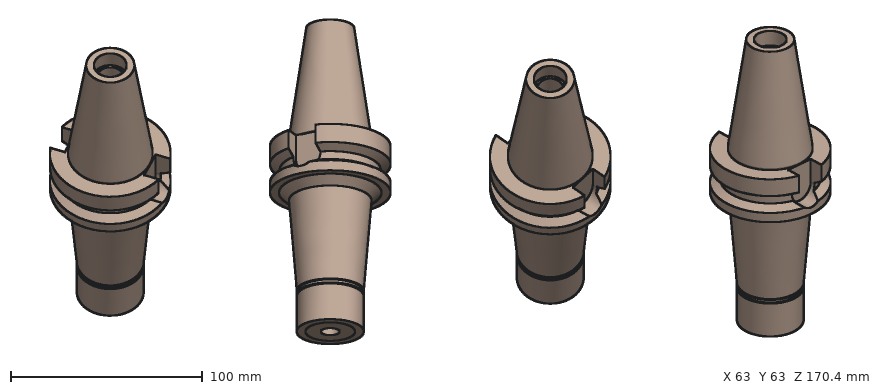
import cadquery as cq
import math

TOTAL_LENGTH = 170.4
GAUGE_Z = 105.0
FLANGE_TOP_Z = 104.1
V_GROOVE_TOP_Z = 93.9
V_GROOVE_FLOOR_TOP_Z = 90.8
V_GROOVE_FLOOR_BOTTOM_Z = 86.4
V_GROOVE_BOTTOM_Z = 83.7
FLANGE_BOTTOM_Z = 78.0
SHANK_TOP_Z = 73.5
SHANK_BOTTOM_Z = 22.8
SPIGOT_BOTTOM_Z = 6.8
COLLET_TOP_Z = 34.0

TAPER_RATIO = 7 / 24
GAUGE_RADIUS = 22.2
TAPER_TIP_RADIUS = GAUGE_RADIUS - (TOTAL_LENGTH - GAUGE_Z) * TAPER_RATIO / 2
FLANGE_RADIUS = 31.5
V_GROOVE_RADIUS = 26.4
FLANGE_CONE_RADIUS = 26.8
SHANK_TOP_RADIUS = 21.6
SHANK_BOTTOM_RADIUS = 17.5
SPIGOT_RADIUS = 14.0

COUNTERBORE_RADIUS = 8.5
COUNTERBORE_DEPTH = 8.9
DRILL_RADIUS = 7.0

SLOT_WIDTH = 16.0
SLOT_FLOOR_OFFSET = 22.3
SLOT_BOTTOM_Z = 82.1

NUT_RADIUS = 17.5
NUT_TOP_Z = 22.3
NUT_GROOVE_TOP_Z = 20.6
NUT_GROOVE_WIDTH = 0.5
NUT_GROOVE_DEPTH = 0.2

COLLET_MAX_RADIUS = 13.0
COLLET_ANGLE = 8.0
COLLET_BORE_RADIUS = 5.0
COLLET_CONE_LENGTH = COLLET_TOP_Z - SPIGOT_BOTTOM_Z
COLLET_TIP_RADIUS = COLLET_MAX_RADIUS - COLLET_CONE_LENGTH * math.tan(math.radians(COLLET_ANGLE))


def revolve_profile(points):
    """Turn a closed (radius, height) outline about the Z axis."""
    return cq.Workplane("XZ").polyline(points).close().revolve(360, (0, 0), (0, 1))


def cylinder(radius, bottom_z, top_z):
    return cq.Workplane("XY").workplane(offset=bottom_z).circle(radius).extrude(top_z - bottom_z)


def make_collet_blank():
    """Collet without its bore: a straight nose below the clamping cone, which narrows upward."""
    return revolve_profile([
        (0, 0),
        (COLLET_MAX_RADIUS, 0),
        (COLLET_MAX_RADIUS, SPIGOT_BOTTOM_Z),
        (COLLET_TIP_RADIUS, COLLET_TOP_Z),
        (0, COLLET_TOP_Z),
    ])


def make_drive_slot(side):
    """Cutter for one round-ended drive slot; side is +1 for +X and -1 for -X."""
    slot_radius = SLOT_WIDTH / 2
    arc_center_z = SLOT_BOTTOM_Z + slot_radius
    return (
        cq.Workplane("YZ")
        .workplane(offset=side * SLOT_FLOOR_OFFSET)
        .moveTo(-slot_radius, FLANGE_TOP_Z)
        .lineTo(-slot_radius, arc_center_z)
        .threePointArc((0, SLOT_BOTTOM_Z), (slot_radius, arc_center_z))
        .lineTo(slot_radius, FLANGE_TOP_Z)
        .close()
        .extrude(side * FLANGE_RADIUS)
    )


def make_holder():
    """Taper shank, grooved flange and chuck nose with a through bore and a collet seat."""
    body = revolve_profile([
        (0, SPIGOT_BOTTOM_Z),
        (SPIGOT_RADIUS, SPIGOT_BOTTOM_Z),
        (SPIGOT_RADIUS, SHANK_BOTTOM_Z),
        (SHANK_BOTTOM_RADIUS, SHANK_BOTTOM_Z),
        (SHANK_TOP_RADIUS, SHANK_TOP_Z),
        (FLANGE_CONE_RADIUS, FLANGE_BOTTOM_Z),
        (FLANGE_RADIUS, FLANGE_BOTTOM_Z),
        (FLANGE_RADIUS, V_GROOVE_BOTTOM_Z),
        (V_GROOVE_RADIUS, V_GROOVE_FLOOR_BOTTOM_Z),
        (V_GROOVE_RADIUS, V_GROOVE_FLOOR_TOP_Z),
        (FLANGE_RADIUS, V_GROOVE_TOP_Z),
        (FLANGE_RADIUS, FLANGE_TOP_Z),
        (GAUGE_RADIUS, FLANGE_TOP_Z),
        (GAUGE_RADIUS, GAUGE_Z),
        (TAPER_TIP_RADIUS, TOTAL_LENGTH),
        (0, TOTAL_LENGTH),
    ])
    for side in (-1, 1):
        body = body.cut(make_drive_slot(side))
    body = body.cut(cylinder(COUNTERBORE_RADIUS, TOTAL_LENGTH - COUNTERBORE_DEPTH, TOTAL_LENGTH))
    body = body.cut(cylinder(DRILL_RADIUS, COLLET_TOP_Z, TOTAL_LENGTH))
    return body.cut(make_collet_blank())


def make_nut():
    """Clamping nut around the spigot, with a fine groove near its upper edge."""
    groove_floor_radius = NUT_RADIUS - NUT_GROOVE_DEPTH
    groove_bottom_z = NUT_GROOVE_TOP_Z - NUT_GROOVE_WIDTH
    return revolve_profile([
        (COLLET_MAX_RADIUS, 0),
        (NUT_RADIUS, 0),
        (NUT_RADIUS, groove_bottom_z),
        (groove_floor_radius, groove_bottom_z),
        (groove_floor_radius, NUT_GROOVE_TOP_Z),
        (NUT_RADIUS, NUT_GROOVE_TOP_Z),
        (NUT_RADIUS, NUT_TOP_Z),
        (SPIGOT_RADIUS, NUT_TOP_Z),
        (SPIGOT_RADIUS, SPIGOT_BOTTOM_Z),
        (COLLET_MAX_RADIUS, SPIGOT_BOTTOM_Z),
    ])


def make_collet():
    """Tapered collet with a straight through bore."""
    return make_collet_blank().cut(cylinder(COLLET_BORE_RADIUS, 0, COLLET_TOP_Z))


holder = make_holder()
nut = make_nut()
collet = make_collet()

result = cq.Compound.makeCompound([holder.val(), nut.val(), collet.val()])